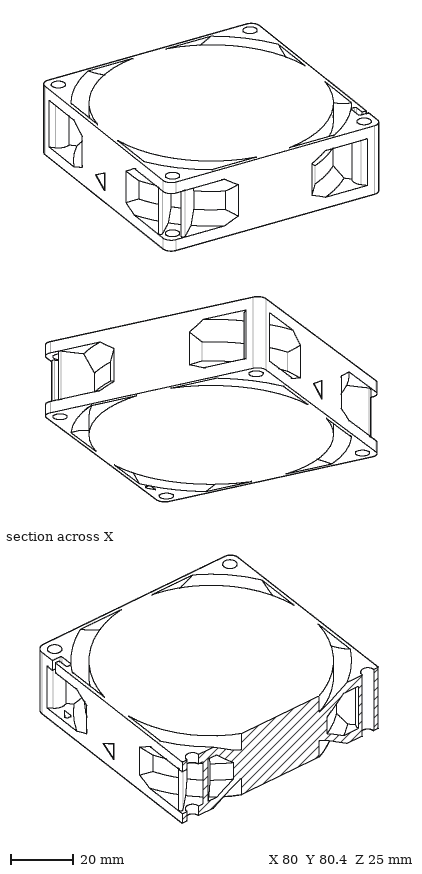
import cadquery as cq
import math

SIDE = 80.0
HEIGHT = 25.0
CORNER_RADIUS = 3.0
FLANGE = 4.0
HALF = SIDE / 2

HOLE_SPACING = 71.5
HOLE_DIAMETER = 4.6

ROTOR_RADIUS = 39.2
RECESS_RIM_RADIUS = 45.0
RECESS_DEPTH = 6.6
RECESS_HALF_WIDTH = 38.7

SHELL_THROAT_RADIUS = 40.6
SHELL_FLANGE_RADIUS = 44.2
THROAT_BOTTOM = 8.0
THROAT_TOP = 14.7

POCKET_START = 38.0
PLATE_OUTER_OFFSET = 4.45
PLATE_THICKNESS = 1.45
PLATE_END = 51.5
BOSS_RADIUS = 3.95
WEB_THICKNESS = 2.0
OPEN_CORNER_ANGLES = (-45, 135)
CLOSED_CORNER_ANGLES = (-135, 45)

SLOT_LEFT = 26.1
SLOT_RIGHT = 31.5
SLOT_FRONT = 36.4
SLOT_WIDTH = 2.0
SLOT_ENTRY_WIDTH = 1.5
SLOT_CORNER_RADIUS = 0.5
PASSAGE_REACH = 47.0

BADGE_HEIGHT = 0.2
BADGE_LEFT = -5.0
BADGE_RIGHT = 0.5
BADGE_BOTTOM = 4.4
BADGE_TOP = 10.8

BEYOND = 2 * SIDE

HOLE_DISTANCE = HOLE_SPACING / math.sqrt(2)


def block(x_min, x_max, y_min, y_max, z_min, z_max):
    size = (x_max - x_min, y_max - y_min, z_max - z_min)
    return cq.Workplane("XY").box(*size, centered=False).translate((x_min, y_min, z_min))


def disc(radius, z_min, z_max):
    return cq.Workplane("XY").workplane(offset=z_min).circle(radius).extrude(z_max - z_min)


def flared_body(throat_radius, rim_radius, bottom, throat_bottom, throat_top, top):
    """Solid of revolution with a straight throat that flares to a rim at both ends."""
    profile = [
        (0, bottom),
        (rim_radius, bottom),
        (throat_radius, throat_bottom),
        (throat_radius, throat_top),
        (rim_radius, top),
        (0, top),
    ]
    return cq.Workplane("XZ").polyline(profile).close().revolve(360, (0, 0), (0, 1))


def turned_to(shape, angle):
    """Turn a shape built along +X onto a corner diagonal."""
    return shape.rotate((0, 0, 0), (0, 0, 1), angle)


def frame():
    body = cq.Workplane("XY").rect(SIDE, SIDE).extrude(HEIGHT)
    return body.edges("|Z").fillet(CORNER_RADIUS)


def corner_space():
    """Room between the flanges, outside a plane square to the corner diagonal."""
    return block(POCKET_START, BEYOND, -BEYOND, BEYOND, FLANGE, HEIGHT - FLANGE)


def open_corner_plates():
    """Two parallel plates with round ends, one on each side of the screw."""
    tip_radius = PLATE_THICKNESS / 2
    middle = PLATE_OUTER_OFFSET - tip_radius
    plates = cq.Workplane("XY")
    for centre in (-middle, middle):
        bar = block(0, PLATE_END, centre - tip_radius, centre + tip_radius, 0, HEIGHT)
        tip = disc(tip_radius, 0, HEIGHT).translate((PLATE_END, centre, 0))
        plates = plates.add(bar.union(tip))
    return plates.combine()


def closed_corner_boss():
    """Screw boss that fills the corner, tied to the shell by a thin web."""
    boss = block(HOLE_DISTANCE, BEYOND, -BOSS_RADIUS, BOSS_RADIUS, 0, HEIGHT)
    boss = boss.union(disc(BOSS_RADIUS, 0, HEIGHT).translate((HOLE_DISTANCE, 0, 0)))
    web = block(0, HOLE_DISTANCE, -WEB_THICKNESS / 2, WEB_THICKNESS / 2, 0, HEIGHT)
    return boss.union(web)


def corner_pockets():
    """One cutting shape per corner, leaving the shell and the screw supports standing."""
    shell = flared_body(SHELL_THROAT_RADIUS, SHELL_FLANGE_RADIUS,
                        FLANGE, THROAT_BOTTOM, THROAT_TOP, HEIGHT - FLANGE)
    closed_pocket = corner_space().cut(closed_corner_boss()).cut(shell)
    open_pocket = corner_space().cut(open_corner_plates()).cut(shell)
    pockets = [turned_to(closed_pocket, angle) for angle in CLOSED_CORNER_ANGLES]
    pockets += [turned_to(open_pocket, angle) for angle in OPEN_CORNER_ANGLES]
    return pockets


def venturi_recess():
    """Clearance around the rotor, cut off square just inside the frame sides."""
    w = RECESS_HALF_WIDTH
    space = flared_body(ROTOR_RADIUS, RECESS_RIM_RADIUS,
                        0, RECESS_DEPTH, HEIGHT - RECESS_DEPTH, HEIGHT)
    space = space.intersect(block(-w, w, -w, w, 0, HEIGHT))
    return space.cut(disc(ROTOR_RADIUS, 0, HEIGHT))


def screw_holes():
    return (cq.Workplane("XY").rect(HOLE_SPACING, HOLE_SPACING, forConstruction=True)
            .vertices().circle(HOLE_DIAMETER / 2).extrude(HEIGHT))


def lead_slot():
    """L-shaped slot in the top flange with a passage through the bottom flange below it."""
    back = SLOT_FRONT + SLOT_WIDTH
    run = block(SLOT_LEFT, SLOT_RIGHT, SLOT_FRONT, back, 0, HEIGHT)
    entry = block(SLOT_RIGHT - SLOT_ENTRY_WIDTH, SLOT_RIGHT, SLOT_FRONT, BEYOND, 0, HEIGHT)
    slot = run.union(entry)
    slot = slot.edges("|Z and <X").fillet(SLOT_CORNER_RADIUS)
    slot = slot.edges("|Z and >X and <Y").fillet(SLOT_CORNER_RADIUS)
    top = slot.intersect(block(0, BEYOND, 0, BEYOND, HEIGHT - FLANGE, HEIGHT))
    bottom = slot.intersect(disc(PASSAGE_REACH, 0, FLANGE))
    return top.union(bottom)


def badges():
    """Plain raised triangles, one on each of the -Y and +Y faces."""
    middle = (BADGE_BOTTOM + BADGE_TOP) / 2
    outline = [(BADGE_LEFT, middle), (BADGE_RIGHT, BADGE_BOTTOM), (BADGE_RIGHT, BADGE_TOP)]
    front = (cq.Workplane("XZ").workplane(offset=HALF).polyline(outline).close()
             .extrude(BADGE_HEIGHT))
    return front.union(turned_to(front, 180))


result = frame()
for pocket in corner_pockets():
    result = result.cut(pocket)
result = result.cut(venturi_recess()).cut(screw_holes()).cut(lead_slot()).union(badges())